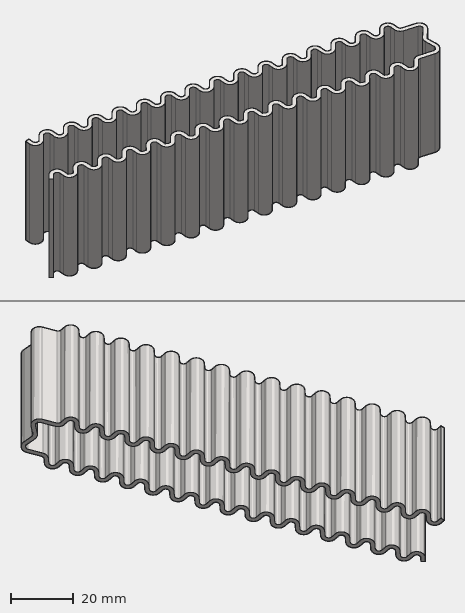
import cadquery as cq
import math

overall_width = 23.0
overall_length = 138.3
height = 45.0
half_thickness = 0.73
inner_bend_radius = 1.22
inner_width = 12.0
wave_run = 127.5
half_waves = 30
dip_depth = 2.1

half_pitch = wave_run / half_waves
outer_crest_x = overall_width / 2 - half_thickness
inner_crest_x = inner_width / 2 + half_thickness
wave_depth = outer_crest_x - inner_crest_x
bend_radius = inner_bend_radius + half_thickness


def web_between_crests(along, across):
    """Return the turn into, and the length of, the straight web joining two opposite bends.

    The crests are parallel, `along` apart in their own direction and `across`
    apart at right angles to it.
    """
    centre_gap = across - 2 * bend_radius
    centre_distance = math.hypot(along, centre_gap)
    length = math.sqrt(centre_distance**2 - (2 * bend_radius) ** 2)
    turn = math.atan2(2 * bend_radius, length) + math.atan2(centre_gap, along)
    return turn, length


dip_turn, dip_web = web_between_crests(inner_crest_x - bend_radius, dip_depth)
wave_turn, wave_web = web_between_crests(half_pitch, wave_depth)

closed_end_length = half_thickness + bend_radius
open_end_length = (bend_radius + half_thickness) * math.sin(wave_turn) + wave_web * math.cos(wave_turn)
plain_wall = overall_length - closed_end_length - wave_run - open_end_length


def half_strip_moves():
    """List the straights and bends from the middle of the dip to the +X leg's end.

    A straight carries its length, a bend its angle, positive to the left.
    """
    moves = [("bend", dip_turn), ("straight", dip_web), ("bend", -dip_turn - math.pi / 2)]
    moves += [("straight", plain_wall), ("bend", wave_turn), ("straight", wave_web)]
    bend_angle = -2 * wave_turn
    for _ in range(half_waves):
        moves += [("bend", bend_angle), ("straight", wave_web)]
        bend_angle = -bend_angle
    return moves


def offset_edge(x, y, heading, moves, offset):
    """Trace one face of the sheet, `offset` to the left of its middle.

    Returns the start point and a list of (end point, arc midpoint or None).
    """
    def left_of(px, py, direction, distance):
        return px - distance * math.sin(direction), py + distance * math.cos(direction)

    start = left_of(x, y, heading, offset)
    pieces = []
    for kind, size in moves:
        middle = None
        if kind == "straight":
            x += size * math.cos(heading)
            y += size * math.sin(heading)
        else:
            side = math.copysign(1, size)
            centre = left_of(x, y, heading, side * bend_radius)
            middle = left_of(*centre, heading + size / 2, offset - side * bend_radius)
            heading += size
            x, y = left_of(*centre, heading, -side * bend_radius)
        pieces.append((left_of(x, y, heading, offset), middle))
    return start, pieces


def draw_piece(outline, end, middle):
    """Extend the outline by an arc through `middle`, or by a line if there is none."""
    if middle is None:
        return outline.lineTo(*end)
    return outline.threePointArc(middle, end)


def half_strip():
    """Build the +X half of the strip, from the dip to the open end."""
    dip_y = overall_length / 2 - half_thickness - dip_depth
    moves = half_strip_moves()
    left_start, left_pieces = offset_edge(0, dip_y, 0, moves, half_thickness)
    right_start, right_pieces = offset_edge(0, dip_y, 0, moves, -half_thickness)

    outline = cq.Workplane("XY").moveTo(*left_start)
    for end, middle in left_pieces:
        outline = draw_piece(outline, end, middle)

    outline = outline.lineTo(*right_pieces[-1][0])
    piece_starts = [right_start] + [end for end, _ in right_pieces[:-1]]
    for start, (_, middle) in zip(reversed(piece_starts), reversed(right_pieces)):
        outline = draw_piece(outline, start, middle)
    return outline.close().extrude(height)


right_half = half_strip()
result = right_half.union(right_half.mirror("YZ")).clean()